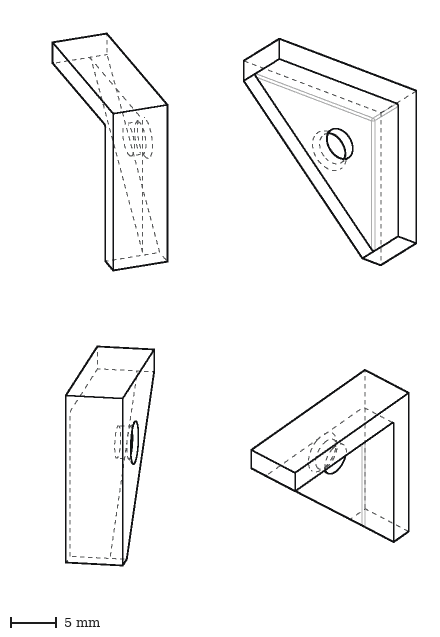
import cadquery as cq
import math

length = 19.07
depth = 6.35
height = 19.11

arm_thickness = 2.55
web_thickness = 1.91
fillet_radius = 0.25
hole_diameter = 3.6
countersink_depth = 0.55
countersink_angle = 90.0
hole_inset = 7.17

inner_x = length - arm_thickness
inner_z = height - arm_thickness


def bracket_blank():
    """Solid block whose corner opposite the arms is cut off diagonally; its back is at Y = 0."""
    outline = [(0, height), (length, height), (length, 0), (inner_x, 0), (0, inner_z)]
    return cq.Workplane("XZ").polyline(outline).close().extrude(depth)


def pocket():
    """Space in front of the web, rounded where the web and the two arms meet."""
    block = cq.Workplane("XZ", origin=(0, -web_thickness, 0))
    block = block.rect(inner_x, inner_z, centered=False).extrude(depth - web_thickness)
    corner = cq.Vector(inner_x, -web_thickness, inner_z)
    corner_edges = [
        edge for edge in block.edges().vals()
        if min((edge.startPoint() - corner).Length, (edge.endPoint() - corner).Length) < fillet_radius
    ]
    return block.newObject(corner_edges).fillet(fillet_radius)


def web_hole():
    """Round hole straight through the web, with a conical countersink opening at the back."""
    plane = cq.Workplane("XZ").center(length - hole_inset, height - hole_inset)
    hole = plane.circle(hole_diameter / 2).extrude(web_thickness)
    countersink_radius = hole_diameter / 2 + countersink_depth * math.tan(math.radians(countersink_angle / 2))
    cone = (
        plane.circle(countersink_radius)
        .workplane(offset=countersink_depth)
        .circle(hole_diameter / 2)
        .loft(ruled=True)
    )
    return hole.union(cone)


result = bracket_blank().cut(pocket()).cut(web_hole())